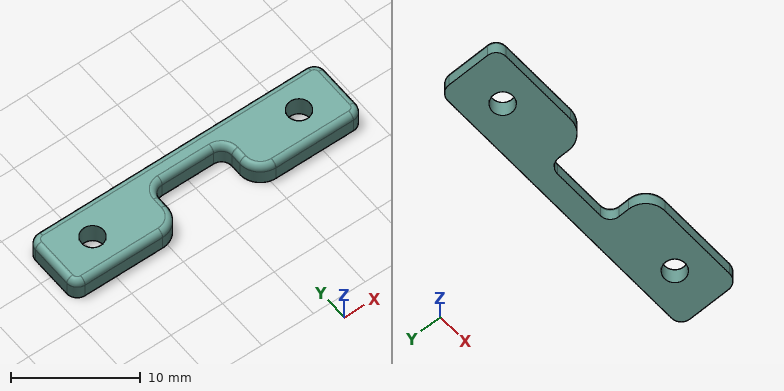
import cadquery as cq

length = 28.0
width = 6.0
thickness = 2.0
corner_radius = 1.0
top_edge_radius = 0.6

bridge_width = 2.0
notch_width = 7.0
notch_depth = width - bridge_width
notch_inner_radius = corner_radius
notch_mouth_radius = 2.0

hole_diameter = 2.1
hole_spacing = 20.0


def make_plate():
    """Rectangular plate with rounded vertical corners."""
    plate = cq.Workplane("XY").box(length, width, thickness, centered=(True, True, False))
    return plate.edges("|Z").fillet(corner_radius)


def cut_notch(body):
    """Cut the notch, then round its inner corners and its wider mouth corners."""
    front = -width / 2
    notch_end = front + notch_depth
    notch = (
        cq.Workplane("XY")
        .center(0, front + notch_depth / 2)
        .rect(notch_width, notch_depth)
        .extrude(thickness)
    )
    body = body.cut(notch)
    for corner_y, radius in ((notch_end, notch_inner_radius), (front, notch_mouth_radius)):
        for side in (-1, 1):
            corner = (side * notch_width / 2, corner_y, thickness / 2)
            body = body.edges(cq.selectors.NearestToPointSelector(corner)).fillet(radius)
    return body


def drill_holes(body):
    """Drill one through hole in each end of the plate."""
    return (
        body.faces(">Z")
        .workplane(origin=(0, 0, thickness))
        .pushPoints([(-hole_spacing / 2, 0), (hole_spacing / 2, 0)])
        .hole(hole_diameter)
    )


rounded_body = cut_notch(make_plate()).faces(">Z").edges().fillet(top_edge_radius)
result = drill_holes(rounded_body)